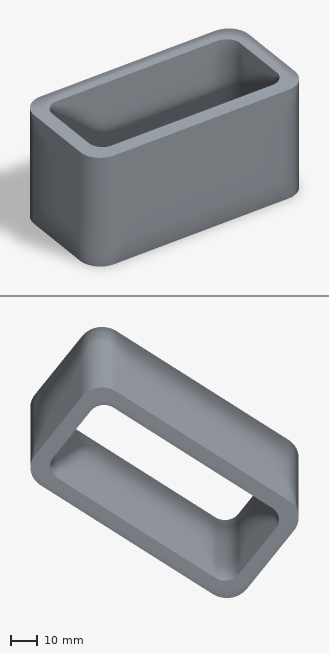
import cadquery as cq

width = 50.0
length = 100.0
height = 50.0

wall = 6.3
outer_radius = 9.4
inner_radius = 6.3


def rounded_block(size_x, size_y, corner_radius):
    """Full-height block with its four vertical edges rounded."""
    block = cq.Workplane("XY").rect(size_x, size_y).extrude(height)
    return block.edges("|Z").fillet(corner_radius)


outer = rounded_block(width, length, outer_radius)
opening = rounded_block(width - 2 * wall, length - 2 * wall, inner_radius)

result = outer.cut(opening)